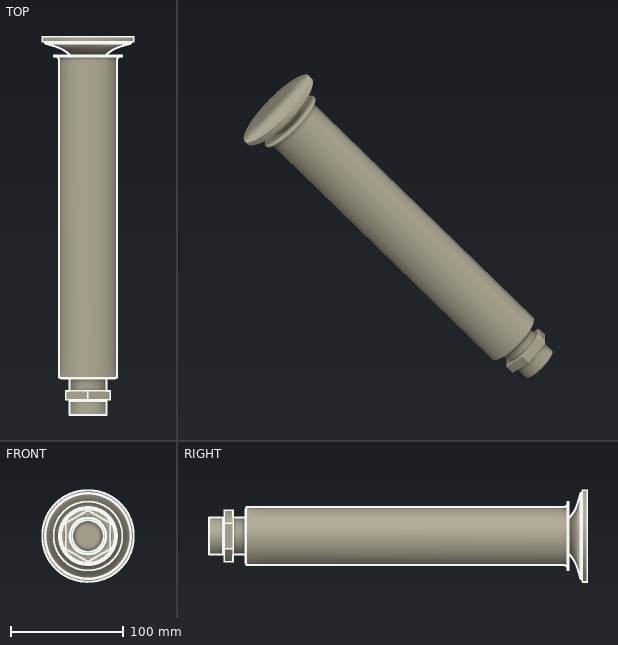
import cadquery as cq
import math

LENGTH = 338.0
MOUTH_Y = -LENGTH / 2
FLANGE_Y = LENGTH / 2

FLANGE_DIA = 82.0
FLANGE_RIM = 3.7
RIM_FILLET = 1.0
STEP_DIA = 77.0
STEP_END = 5.7
STEP_CHAMFER = 0.7
CONE_END_DIA = 58.8
CONE_ANGLE = 16.0
NECK_DIA = 31.8

COLLAR_DIA = 61.5
COLLAR_OFFSET = 16.5
COLLAR_THICKNESS = 1.5
FLARE_LENGTH = 3.0
BODY_DIA = 52.0
BODY_CHAMFER = 1.0
BODY_SHOULDER = 1.0

PIPE_DIA = 33.0
MOUTH_CHAMFER = 0.7
BORE_DIA = 28.0
BORE_DEPTH = 13.0
PIPE_LENGTH = 32.8
NUT_FLATS = 40.0
NUT_OFFSET = 14.0
NUT_THICKNESS = 8.0
GROOVE_DIA = 32.8
GROOVE_WIDTH = 1.5


def turned_solid():
    """Solid of revolution: pipe, body, collar disc, flared neck and flange."""
    flange_r = FLANGE_DIA / 2
    step_r = STEP_DIA / 2
    cone_start_r = step_r - STEP_CHAMFER
    cone_end_r = CONE_END_DIA / 2
    neck_r = NECK_DIA / 2
    body_r = BODY_DIA / 2
    pipe_r = PIPE_DIA / 2
    groove_r = GROOVE_DIA / 2

    body_y = MOUTH_Y + PIPE_LENGTH
    nut_y = MOUTH_Y + NUT_OFFSET
    collar_back_y = FLANGE_Y - COLLAR_OFFSET
    collar_front_y = collar_back_y - COLLAR_THICKNESS
    flare_y = collar_front_y - FLARE_LENGTH
    flare_top_r = body_r + FLARE_LENGTH
    rim_y = FLANGE_Y - FLANGE_RIM
    shoulder_y = rim_y - RIM_FILLET
    step_y = FLANGE_Y - STEP_END
    cone_y = step_y - STEP_CHAMFER
    cone_end_y = cone_y - (cone_start_r - cone_end_r) * math.tan(math.radians(CONE_ANGLE))

    profile = (
        cq.Workplane("XY")
        .moveTo(0, FLANGE_Y)
        .lineTo(flange_r, FLANGE_Y)
        .lineTo(flange_r, rim_y)
        .radiusArc((flange_r - RIM_FILLET, shoulder_y), RIM_FILLET)
        .lineTo(step_r, shoulder_y)
        .lineTo(step_r, step_y)
        .lineTo(cone_start_r, cone_y)
        .lineTo(cone_end_r, cone_end_y)
        .tangentArcPoint((neck_r, collar_back_y), relative=False)
        .lineTo(COLLAR_DIA / 2, collar_back_y)
        .lineTo(COLLAR_DIA / 2, collar_front_y)
        .lineTo(flare_top_r, collar_front_y)
        .radiusArc((body_r, flare_y), -FLARE_LENGTH)
        .lineTo(body_r, body_y + BODY_CHAMFER)
        .lineTo(body_r - BODY_SHOULDER, body_y + BODY_CHAMFER)
        .lineTo(body_r - BODY_SHOULDER - BODY_CHAMFER, body_y)
        .lineTo(pipe_r, body_y)
        .lineTo(pipe_r, nut_y)
        .lineTo(groove_r, nut_y)
        .lineTo(groove_r, nut_y - GROOVE_WIDTH)
        .lineTo(pipe_r, nut_y - GROOVE_WIDTH)
        .lineTo(pipe_r, MOUTH_Y + MOUTH_CHAMFER)
        .lineTo(pipe_r - MOUTH_CHAMFER, MOUTH_Y)
        .lineTo(0, MOUTH_Y)
        .close()
    )
    return profile.revolve(360, (0, 0), (0, 1))


def along_y(start_y):
    """Workplane across the axis at start_y, extruding toward +Y."""
    return cq.Workplane("XZ", origin=(0, start_y, 0))


def nut():
    """Hexagon with two corners on the Z axis."""
    corners = NUT_FLATS / math.cos(math.pi / 6)
    return (
        along_y(MOUTH_Y + NUT_OFFSET)
        .transformed(rotate=(0, 0, 90))
        .polygon(6, corners)
        .extrude(-NUT_THICKNESS)
    )


def bore():
    """Blind flat-bottomed hole in the pipe mouth."""
    return along_y(MOUTH_Y).circle(BORE_DIA / 2).extrude(-BORE_DEPTH)


result = turned_solid().union(nut()).cut(bore())